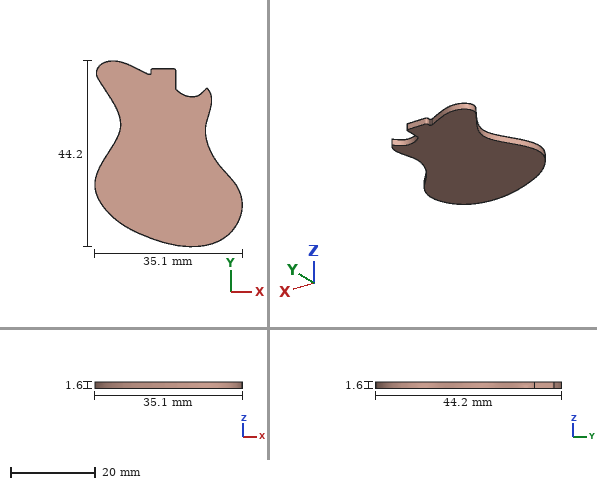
import cadquery as cq

length = 44.15
width = 35.05
thickness = 1.6

neck_left = 13.3
neck_right = 19.25
neck_top = 42.3
neck_corner_radius = 0.55
neck_left_foot = (neck_left, 40.95)
neck_right_foot = (neck_right, 37.45)

horn_join = (12.63, 41.0)
horn_slope = (8.05, 43.25)
horn_top = (4.1, length)
horn_corner = (1.2, 43.05)
horn_left = (0.35, 41.4)
horn_lower_left = (1.32, 38.95)
horn_flank = (4.15, 34.6)

left_waist = (6.15, 29.15)
left_flank = (2.95, 22.0)
hip_left = (0.0, 14.55)
lower_left = (6.6, 5.25)
lower_left_run = (11.35, 2.8)
bottom = (22.8, 0.0)
lower_right = (31.4, 2.55)
hip_right = (width, 10.05)
hip_upper_right = (33.65, 14.55)

right_flank = (30.3, 18.5)
waist_lower_right = (27.5, 22.7)
right_waist = (26.3, 28.25)
small_horn_flank = (27.35, 32.25)
small_horn_right = (27.75, 35.05)
small_horn_tip = (26.62, 37.7)

cutaway_bottom = (23.4, 35.65)
cutaway_directions = [(-1, -1), (-1, 0), (-1, 1)]

body_edge = [
    horn_join,
    horn_slope,
    horn_top,
    horn_corner,
    horn_left,
    horn_lower_left,
    horn_flank,
    left_waist,
    left_flank,
    hip_left,
    lower_left,
    lower_left_run,
    bottom,
    lower_right,
    hip_right,
    hip_upper_right,
    right_flank,
    waist_lower_right,
    right_waist,
    small_horn_flank,
    small_horn_right,
    small_horn_tip,
]
cutaway_edge = [small_horn_tip, cutaway_bottom, neck_right_foot]

outline = (
    cq.Workplane("XY")
    .moveTo(*horn_join)
    .spline(body_edge)
    .spline(cutaway_edge, tangents=cutaway_directions)
    .lineTo(neck_right, neck_top - neck_corner_radius)
    .radiusArc((neck_right - neck_corner_radius, neck_top), -neck_corner_radius)
    .lineTo(neck_left + neck_corner_radius, neck_top)
    .radiusArc((neck_left, neck_top - neck_corner_radius), -neck_corner_radius)
    .lineTo(*neck_left_foot)
    .close()
)

result = outline.extrude(thickness)